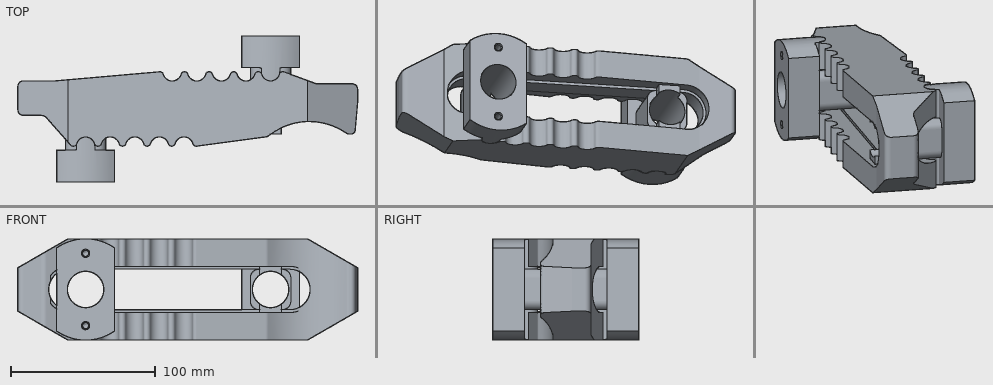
import cadquery as cq
import math

arm_length = 235.0
arm_height = 70.0
tip_height = 30.0
taper_angle = 30.0

groove_floor = 19.4
groove_radius = 6.35
crest_radius = 2.5
groove_pitch = 17.0
groove_count = 5
lower_first_groove_x = 46.9
upper_last_groove_x = 174.75
groove_center_y = groove_floor + groove_radius
crest_center_y = groove_center_y - math.sqrt(
    (groove_radius + crest_radius) ** 2 - (groove_pitch / 2) ** 2
)

nose_top = 19.5
nose_bottom = -4.5
nose_top_end_x = 26.0
nose_bottom_end_x = 18.4
nose_corner_radius = 4.0
nose_root_radius = 5.0

tail_top = 17.5
tail_top_start_x = 206.3
tail_bottom = -17.4
tail_bend_y = 4.5
tail_side_tilt = 5.0
tail_top_radius = 4.0
tail_bottom_radius = 3.0
hollow_center_x = 201.5
hollow_apex_y = -8.7
hollow_radius = 45.0
hollow_start_y = -19.2
hollow_edge_radius = 4.0

slot_start_x = 21.5
slot_end_x = 202.0
slot_height = 28.0
recess_height = 32.0
ledge_y = 9.4

flange_inner_y = 28.5
flange_outer_y = 50.5
flange_width = 40.0
flange_diameter = 70.0
tongue_root_radius = 1.0
stem_corner_radius = 6.0
bore_diameter = 25.0
tab_width = 15.0
tab_length = 8.0

screw_hole_offset = 25.0
screw_hole_diameter = 4.2
screw_countersink_diameter = 5.7
screw_hole_depth = 12.0
drill_tip_angle = 118.0

reach = 4 * arm_length


def along_y(start_y, x=0.0):
    """Workplane at start_y, drawn in X and Z, that extrudes toward +Y."""
    return cq.Workplane("XZ", origin=(x, start_y, 0)).transformed(rotate=(180, 0, 0))


def tangent_point(point, center, radius, turn):
    """Where a line from point touches a circle; turn = 1 or -1 picks the side."""
    dx = point[0] - center[0]
    dy = point[1] - center[1]
    angle = math.atan2(dy, dx) + turn * math.acos(radius / math.hypot(dx, dy))
    return (center[0] + radius * math.cos(angle), center[1] + radius * math.sin(angle))


def add_teeth(outline, first_x, step, side, exit_point):
    """Continue the outline along a row of teeth, then straight to exit_point.

    The outline must already touch the first crest. step is the signed pitch,
    and side is 1 for the +Y row and -1 for the -Y row.
    """
    direction = math.copysign(1, step)
    share = groove_radius / (groove_radius + crest_radius)
    touch_x = share * groove_pitch / 2
    touch_y = side * (groove_center_y + share * (crest_center_y - groove_center_y))
    crest_top = side * (crest_center_y + crest_radius)
    for i in range(groove_count):
        x = first_x + i * step
        outline = outline.threePointArc((x - step / 2, crest_top), (x - direction * touch_x, touch_y))
        outline = outline.threePointArc((x, side * groove_floor), (x + direction * touch_x, touch_y))
    last_crest = (first_x + (groove_count - 0.5) * step, side * crest_center_y)
    leave = tangent_point(exit_point, last_crest, crest_radius, -1)
    outline = outline.threePointArc((last_crest[0], crest_top), leave)
    return outline.lineTo(*exit_point)


def hollow_offset(y):
    """Half the width of the hollow at height y."""
    drop = hollow_radius - (hollow_apex_y - y)
    return math.sqrt(hollow_radius ** 2 - drop ** 2)


def make_arm():
    nose_low = (0, nose_bottom)
    nose_root = (nose_bottom_end_x, nose_bottom)
    first_lower_crest = (lower_first_groove_x - groove_pitch / 2, -crest_center_y)
    hollow_start = (hollow_center_x - hollow_offset(hollow_start_y), hollow_start_y)
    hollow_end = (hollow_center_x + hollow_offset(tail_bottom), tail_bottom)

    tail_high = (arm_length, tail_top)
    tail_bend = (arm_length, tail_bend_y)
    tail_lean = (tail_bend_y - tail_bottom) * math.tan(math.radians(tail_side_tilt))
    tail_low = (arm_length - tail_lean, tail_bottom)
    tail_start = (tail_top_start_x, tail_top)
    first_upper_crest = (upper_last_groove_x + groove_pitch / 2, crest_center_y)
    nose_top_end = (nose_top_end_x, nose_top)
    nose_high = (0, nose_top)

    outline = cq.Workplane("XY").moveTo(*nose_low).lineTo(*nose_root)
    outline = outline.lineTo(*tangent_point(nose_root, first_lower_crest, crest_radius, 1))
    outline = add_teeth(outline, lower_first_groove_x, groove_pitch, -1, hollow_start)
    outline = outline.threePointArc((hollow_center_x, hollow_apex_y), hollow_end)
    outline = outline.lineTo(*tail_low).lineTo(*tail_bend).lineTo(*tail_high).lineTo(*tail_start)
    outline = outline.lineTo(*tangent_point(tail_start, first_upper_crest, crest_radius, 1))
    outline = add_teeth(outline, upper_last_groove_x, -groove_pitch, 1, nose_top_end)
    outline = outline.lineTo(*nose_high).close()
    arm = outline.extrude(arm_height / 2, both=True)

    rounded_corners = [
        (nose_low, nose_corner_radius),
        (nose_high, nose_corner_radius),
        (nose_root, nose_root_radius),
        (hollow_start, hollow_edge_radius),
        (hollow_end, tail_bottom_radius),
        (tail_low, tail_bottom_radius),
        (tail_high, tail_top_radius),
    ]
    for corner, radius in rounded_corners:
        arm = arm.edges(cq.NearestToPointSelector((*corner, 0))).fillet(radius)

    taper_length = (arm_height - tip_height) / 2 / math.tan(math.radians(taper_angle))
    taper_outline = [
        (0, tip_height / 2),
        (taper_length, arm_height / 2),
        (arm_length - taper_length, arm_height / 2),
        (arm_length, tip_height / 2),
    ]
    mirrored = [(x, -z) for x, z in reversed(taper_outline)]
    envelope = along_y(-reach / 2).polyline(taper_outline + mirrored).close().extrude(reach)
    arm = arm.intersect(envelope)

    slot_middle_x = (slot_start_x + slot_end_x) / 2
    slot_spacing = slot_end_x - slot_start_x - slot_height
    arm = arm.cut(
        along_y(-reach / 2, slot_middle_x).slot2D(slot_spacing + slot_height, slot_height).extrude(reach)
    )
    for recess_start_y in (ledge_y, -ledge_y - reach):
        recess = along_y(recess_start_y, slot_middle_x)
        arm = arm.cut(recess.slot2D(slot_spacing + recess_height, recess_height).extrude(reach))
    return arm


def make_screw_hole(z):
    """Countersunk blind hole with a drilled tip, entering from the outer flange face."""
    radius = screw_hole_diameter / 2
    sink_radius = screw_countersink_diameter / 2
    sink_depth = sink_radius - radius
    tip_depth = radius / math.tan(math.radians(drill_tip_angle / 2))
    profile = [
        (0, 0),
        (sink_radius, 0),
        (radius, -sink_depth),
        (radius, -screw_hole_depth),
        (0, -screw_hole_depth - tip_depth),
    ]
    hole = cq.Workplane("XY").polyline(profile).close().revolve(360, (0, 0), (0, 1))
    return hole.translate((0, flange_outer_y, z))


def make_rider():
    """Rider on the +Y side, with its bore on the Y axis."""
    half_width = flange_width / 2
    rider = (
        cq.Workplane("XY")
        .moveTo(-half_width, flange_outer_y)
        .lineTo(-half_width, flange_inner_y)
        .lineTo(-groove_radius, flange_inner_y)
        .lineTo(-groove_radius, groove_center_y)
        .threePointArc((0, groove_floor), (groove_radius, groove_center_y))
        .lineTo(groove_radius, flange_inner_y)
        .lineTo(half_width, flange_inner_y)
        .lineTo(half_width, flange_outer_y)
        .close()
        .extrude(flange_diameter / 2, both=True)
    )
    for x in (-groove_radius, groove_radius):
        rider = rider.edges(cq.NearestToPointSelector((x, flange_inner_y, 0))).fillet(tongue_root_radius)
    rider = rider.intersect(along_y(-reach / 2).circle(flange_diameter / 2).extrude(reach))

    stem_length = flange_inner_y + ledge_y
    stem = along_y(-ledge_y).rect(slot_height, slot_height).extrude(stem_length)
    stem = stem.edges("|Y").fillet(stem_corner_radius)
    tab = along_y(-ledge_y - tab_length).rect(tab_width, recess_height).extrude(tab_length)
    rider = rider.union(stem).union(tab)

    rider = rider.cut(along_y(-reach / 2).circle(bore_diameter / 2).extrude(reach))
    for z in (-screw_hole_offset, screw_hole_offset):
        rider = rider.cut(make_screw_hole(z))
    return rider


arm = make_arm()
riders = []
for groove_x, turn in ((upper_last_groove_x, 0), (lower_first_groove_x, 180)):
    rider = make_rider().rotate((0, 0, 0), (0, 0, 1), turn).translate((groove_x, 0, 0))
    riders.extend(rider.solids().vals())

result = cq.Compound.makeCompound([*arm.solids().vals(), *riders])